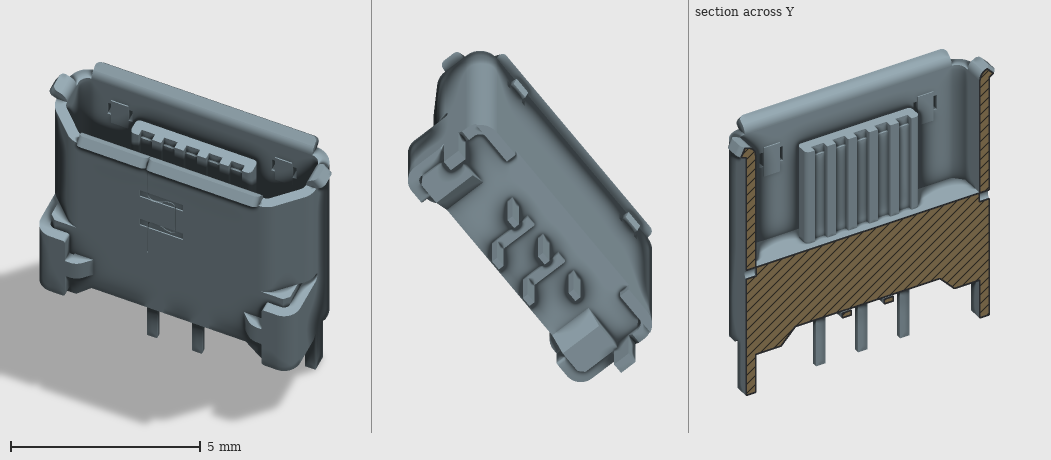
import cadquery as cq
import math


wall = 0.30
half_width = 3.76
half_depth = 1.23
shell_top = 7.52
rear_radius = 0.57
bevel_radius = 0.55
bevel_x = 2.838
bevel_y = -0.308
inner_x = half_width - wall
inner_y = half_depth - wall

housing_top = 3.97
wing_front = -1.575
wing_top = 3.68
wing_bottom = 1.395
wing_radius = 0.47
wing_end_x = 2.85
wing_end_radius = 0.08
wing_root_radius = 0.04
wing_flat_x = half_width - wing_radius
catch_bottom = 2.25
catch_top = 2.868
catch_bend_x = 2.72
catch_bend_radius = 0.47
catch_angle = 45
relief_end_y = 0.01
relief_radius = 0.14

seam_x = -0.606
seam_gap = 0.03
seam_key_x = 0.186
seam_key_z = 5.725
seam_key_half_height = 0.465
seam_corner_radius = 0.15
seam_wave_rise = seam_corner_radius / 3
coin_depth = 0.03
coin_left = -0.836
coin_right = 0.416
coin_height = 0.262
plate_right = 0.614
plate_corner_radius = 0.07
plate_root = 0.075

lip_thickness = 0.29
narrow_flare = (53, 46, 0.222, 0.152)
left_flare = (66, 64, 0.258, 0.115)
rear_flare = (51, 51, 0.21, 0.165)
front_lip_half_length = 2.61
front_lip_radius = 0.15
rear_lip_half_length = 3.2
rear_lip_radius = 0.15
side_lip_length = 0.62
side_lip_y = 0.237
side_lip_radius = 0.15
latch_x = 2.375
latch_width = 0.49
latch_top = 6.91
latch_bottom = 6.0
latch_proud = 0.03
window_margin = 0.12
window_top = 6.75
window_bottom = 6.3
prong_reach = 0.21
prong_thickness = 0.255
prong_droop = 23
prong_z = 6.86

housing_bottom = 1.664
housing_front_chamfer = 0.15
housing_rear_chamfer = 0.26
foot_bottom = 1.197
foot_tip_x = 2.68
foot_slope_x = 2.235
foot_rear_y = 0.0

tongue_half_width = 1.755
tongue_rear = 0.65
tongue_front = 0.169
tongue_top = 6.86
tongue_radius = 0.13
contact_pitch = 0.65
contact_count = 5
notch_width = 0.387
notch_depth = 0.2
contact_face_y = 0.305
contact_top = 6.6

pin_width = 0.285
pin_thickness = 0.165
rear_pin_y = 0.27
front_pin_y = -0.765
pin_jog_top = 1.61
pin_bend_radius = 0.1
leg_rear = 0.38
leg_front = -0.115
leg_relief = 0.12
rear_foot_bottom = 1.276
rear_foot_x = 2.397


def block(x0, x1, y0, y1, z0, z1):
    """Axis-aligned box between two corners."""
    return cq.Workplane("XY").box(x1 - x0, y1 - y0, z1 - z0, centered=False).translate((x0, y0, z0))


def mirrored(solid):
    """A solid together with its mirror image across X = 0."""
    return solid.union(solid.mirror("YZ"), clean=False)


def outline_solid():
    """Solid of the D-shaped shell outline over the full height of the rear wall."""
    corners = [
        (-half_width, half_depth),
        (half_width, half_depth),
        (half_width, bevel_y),
        (bevel_x, -half_depth),
        (-bevel_x, -half_depth),
        (-half_width, bevel_y),
    ]
    base = cq.Workplane("XY").workplane(offset=rear_foot_bottom)
    solid = base.polyline(corners).close().extrude(shell_top - rear_foot_bottom)
    solid = solid.edges("|Z and >Y").fillet(rear_radius)
    return solid.edges("|Z and (not >Y)").fillet(bevel_radius)


def tube():
    """D-shaped tube, cut away in front below the relief slot and stepped along its bottom edge."""
    outer = outline_solid()
    cavity = outer.faces("<Z").wires().toPending().offset2D(-wall)
    body = outer.cut(cavity.extrude(shell_top - rear_foot_bottom, combine=False))
    x = half_width
    front = -half_depth
    slot = block(-x, x, front, relief_end_y, wing_top, housing_top)
    slot = slot.edges("|X and >Y").fillet(relief_radius)
    below_slot = block(-x, x, front, relief_end_y, rear_foot_bottom, wing_top)
    below_sides = block(-x, x, front, inner_y, rear_foot_bottom, wing_bottom)
    between_feet = block(-rear_foot_x, rear_foot_x, front, half_depth, rear_foot_bottom, housing_bottom)
    return body.cut(slot).cut(below_slot).cut(below_sides).cut(between_feet)


def wings():
    """Side walls below the relief slot, rounded around the front corners of the housing."""

    def rounded_box(inset):
        x = half_width - inset
        solid = block(-x, x, wing_front + inset, relief_end_y, wing_bottom, wing_top)
        return solid.edges("|Z and <Y").fillet(wing_radius - inset)

    front_opening = block(-wing_flat_x, wing_flat_x, wing_front, wing_front + wall, wing_bottom, wing_top)
    return rounded_box(0).cut(rounded_box(wall)).cut(front_opening)


def wing_flange():
    """Flat end of the right wing with its catch bent back into the housing."""
    outline = [
        (wing_flat_x, wing_bottom),
        (wing_flat_x, wing_top),
        (wing_end_x, wing_top),
        (wing_end_x, catch_top),
        (catch_bend_x, catch_top),
        (catch_bend_x, catch_bottom),
        (wing_end_x, catch_bottom),
        (wing_end_x, wing_bottom),
    ]
    plate = cq.Workplane("XZ", origin=(0, wing_front, 0)).polyline(outline).close().extrude(-wall)
    for z, radius in (
        (wing_top, wing_end_radius),
        (wing_bottom, wing_end_radius),
        (catch_top, wing_root_radius),
        (catch_bottom, wing_root_radius),
    ):
        corner = (wing_end_x, wing_front + wall / 2, z)
        plate = plate.edges(cq.NearestToPointSelector(corner)).fillet(radius)

    angle = math.radians(catch_angle)
    bend_centre_y = wing_front + catch_bend_radius

    def on_bend(turn):
        x = catch_bend_x - catch_bend_radius * math.sin(turn)
        return (x, bend_centre_y - catch_bend_radius * math.cos(turn))

    bend_end = on_bend(angle)
    embed_y = -half_depth + wall / 2
    run = (embed_y - bend_end[1]) / math.tan(angle)
    catch = (
        cq.Workplane("XY", origin=(0, 0, catch_bottom))
        .moveTo(catch_bend_x, wing_front)
        .threePointArc(on_bend(angle / 2), bend_end)
        .lineTo(bend_end[0] - run, embed_y)
        .lineTo(catch_bend_x, embed_y)
        .close()
        .extrude(catch_top - catch_bottom)
    )
    return plate.union(catch)


def lip(length, bend, tilt, tip_out, tip_up, corner_radius):
    """Lip along X, bent about the wall's outer rim edge (the X axis) to flare towards -Y.

    The inner face turns through `bend`; the end face leans `tilt` from horizontal. The lower edge
    of the end face lies `tip_out` beyond the wall and `tip_up` above the rim.
    """

    def on_bend(turn):
        return (wall * math.cos(turn), wall * math.sin(turn))

    bend_angle = math.radians(bend)
    tilt_angle = math.radians(tilt)
    low_tip = (-tip_out, tip_up)
    high_tip = (
        low_tip[0] + lip_thickness * math.cos(tilt_angle),
        low_tip[1] + lip_thickness * math.sin(tilt_angle),
    )
    solid = (
        cq.Workplane("YZ", origin=(-length / 2, 0, 0))
        .polyline([(0, 0), low_tip, high_tip, on_bend(bend_angle)])
        .threePointArc(on_bend(bend_angle / 2), on_bend(0))
        .close()
        .extrude(length)
    )
    tip_middle_y = (low_tip[0] + high_tip[0]) / 2
    tip_middle_z = (low_tip[1] + high_tip[1]) / 2
    for end in (-1, 1):
        tip_edge = cq.NearestToPointSelector((end * length / 2, tip_middle_y, tip_middle_z))
        solid = solid.edges(tip_edge).fillet(corner_radius)
    return solid


def front_lips():
    """Two front lips, one on each side of the seam."""
    solids = cq.Workplane("XY")
    gap = seam_gap / 2
    for start, end in (
        (-front_lip_half_length, seam_x - gap),
        (seam_x + gap, front_lip_half_length),
    ):
        piece = lip(end - start, *narrow_flare, front_lip_radius)
        solids = solids.add(piece.translate(((start + end) / 2, -half_depth, shell_top)))
    return solids.combine()


def rear_lip():
    """Single lip along the rear wall."""
    piece = lip(2 * rear_lip_half_length, *rear_flare, rear_lip_radius)
    return piece.rotate((0, 0, 0), (0, 0, 1), 180).translate((0, half_depth, shell_top))


def side_lips():
    """Short lips on the two side walls; the left one flares further."""
    left = lip(side_lip_length, *left_flare, side_lip_radius)
    left = left.rotate((0, 0, 0), (0, 0, 1), -90).translate((-half_width, side_lip_y, shell_top))
    right = lip(side_lip_length, *narrow_flare, side_lip_radius)
    right = right.rotate((0, 0, 0), (0, 0, 1), 90).translate((half_width, side_lip_y, shell_top))
    return left.union(right)


def seam_cut():
    """Hairline seam down the front wall with an interlocking key between two coined pads."""
    r = seam_corner_radius
    top = seam_key_z + seam_key_half_height
    bottom = seam_key_z - seam_key_half_height
    wave_x = (seam_x + seam_key_x) / 2
    upper_wave = [(wave_x, top + seam_wave_rise), (seam_key_x - r, top + r)]
    lower_wave = [(wave_x, bottom - seam_wave_rise), (seam_x + r, bottom)]
    diagonal = r * math.sqrt(0.5)
    path = (
        cq.Workplane("XZ", origin=(0, -half_depth + wall / 2, 0))
        .moveTo(seam_x, shell_top)
        .lineTo(seam_x, top + r)
        .threePointArc((seam_x + r - diagonal, top + r - diagonal), (seam_x + r, top))
        .spline(upper_wave, tangents=[(1, 0), (1, 0)], includeCurrent=True)
        .threePointArc((seam_key_x - r + diagonal, top + diagonal), (seam_key_x, top))
        .lineTo(seam_key_x, bottom)
        .threePointArc((seam_key_x - r + diagonal, bottom - diagonal), (seam_key_x - r, bottom - r))
        .spline(lower_wave, tangents=[(-1, 0), (-1, 0)], includeCurrent=True)
        .threePointArc((seam_x + r - diagonal, bottom - r + diagonal), (seam_x, bottom - r))
        .lineTo(seam_x, housing_top)
        .wire()
    )
    section = cq.Workplane("XY", origin=(seam_x, -half_depth + wall / 2, shell_top))
    cut = section.rect(seam_gap, wall).sweep(path)
    for pad_bottom in (top, bottom - coin_height):
        front = -half_depth
        pad = block(coin_left, coin_right, front, front + coin_depth, pad_bottom, pad_bottom + coin_height)
        cut = cut.union(pad)
    return cut


def front_plate():
    """Strip of the front wall that runs down between the two halves of the housing face."""
    outline = [
        (seam_x, housing_bottom),
        (plate_right, housing_bottom),
        (plate_right, housing_top),
        (plate_right + plate_root, housing_top),
        (plate_right + plate_root, housing_top + plate_root),
        (seam_x, housing_top + plate_root),
    ]
    plate = cq.Workplane("XZ", origin=(0, -half_depth, 0)).polyline(outline).close().extrude(-wall)
    inside_corner = cq.NearestToPointSelector((plate_right, -half_depth + wall / 2, housing_top))
    return plate.edges(inside_corner).fillet(plate_corner_radius)


def add_latches(body):
    """Spring latches in rear-wall windows, each with a prong hooked outward and down."""
    half = latch_width / 2
    droop = math.radians(prong_droop)
    tip = (half_depth + prong_reach, prong_z - prong_reach * math.tan(droop))
    low_tip = (tip[0] - prong_thickness * math.sin(droop), tip[1] - prong_thickness * math.cos(droop))
    embed = half_depth - wall / 2
    outline = [
        tip,
        low_tip,
        (embed, low_tip[1] + (low_tip[0] - embed) * math.tan(droop)),
        (embed, tip[1] + (tip[0] - embed) * math.tan(droop)),
    ]
    for side in (-1, 1):
        x = side * latch_x
        left = x - half - window_margin
        right = x + half + window_margin
        window = block(left, right, inner_y, half_depth, window_bottom, window_top)
        arm_inner_y = inner_y - latch_proud
        arm = block(x - half, x + half, arm_inner_y, half_depth, latch_bottom, latch_top)
        prong = cq.Workplane("YZ", origin=(x - half, 0, 0)).polyline(outline).close().extrude(latch_width)
        body = body.cut(window).union(arm).union(prong)
    return body


def leg():
    """Right solder leg, running down from the side wall."""
    return block(inner_x, half_width, leg_front, leg_rear, 0, wing_bottom)


def leg_reliefs():
    """Triangular nicks in the right side wall beside its leg."""
    reliefs = cq.Workplane("XY")
    for edge_y, direction in ((leg_rear, 1), (leg_front, -1)):
        outline = [
            (edge_y, wing_bottom),
            (edge_y, wing_bottom + leg_relief),
            (edge_y + direction * leg_relief, wing_bottom),
        ]
        nick = cq.Workplane("YZ", origin=(inner_x, 0, 0)).polyline(outline).close().extrude(wall)
        reliefs = reliefs.add(nick)
    return reliefs.combine()


def housing():
    """Plastic block filling the lower shell, with two sloped feet."""
    body = block(-inner_x, inner_x, -half_depth, inner_y, housing_bottom, housing_top)
    foot_outline = [
        (inner_x, housing_bottom),
        (inner_x, foot_bottom),
        (foot_tip_x, foot_bottom),
        (foot_slope_x, housing_bottom),
    ]
    foot_depth = half_depth + foot_rear_y
    foot = cq.Workplane("XZ", origin=(0, -half_depth, 0)).polyline(foot_outline).close().extrude(-foot_depth)
    body = body.union(mirrored(foot))
    body = body.edges("|Z and <Y and (<X or >X)").chamfer(housing_front_chamfer)
    body = body.edges("|Z and >Y").chamfer(housing_rear_chamfer)
    return body.cut(front_plate())


def contact_positions():
    """X positions of the contacts, evenly pitched about the middle."""
    middle = (contact_count - 1) / 2
    return [(i - middle) * contact_pitch for i in range(contact_count)]


def tongue():
    """Contact tongue: front notches with a contact strip standing lower in each."""
    width = tongue_half_width
    solid = block(-width, width, tongue_front, tongue_rear, housing_top, tongue_top)
    solid = solid.edges("|Z").fillet(tongue_radius)
    half = notch_width / 2
    back = tongue_front + notch_depth
    for x in contact_positions():
        notch = block(x - half, x + half, tongue_front, back, housing_top, tongue_top)
        contact = block(x - half, x + half, contact_face_y, back, housing_top, contact_top)
        solid = solid.cut(notch).union(contact)
    return solid


def pins():
    """Five tails in two rows; the second and fourth jog forward under the housing."""
    solids = cq.Workplane("XY")
    half_w = pin_width / 2
    half_t = pin_thickness / 2
    for i, x in enumerate(contact_positions()):
        left = x - half_w
        right = x + half_w
        in_front_row = i % 2 == 1
        rear_end = pin_jog_top - pin_thickness if in_front_row else 0
        pin = block(left, right, rear_pin_y - half_t, rear_pin_y + half_t, rear_end, housing_bottom)
        if in_front_row:
            front = front_pin_y - half_t
            tail = block(left, right, front, front + pin_thickness, 0, pin_jog_top)
            jog = block(left, right, front, rear_pin_y, pin_jog_top - pin_thickness, pin_jog_top)
            bent = tail.union(jog).edges("|X and <Y and >Z").fillet(pin_bend_radius)
            pin = pin.union(bent)
        solids = solids.add(pin)
    return solids.combine()


def shell():
    """Complete metal shell with wings, legs, latches, seam and lips."""
    body = tube().union(wings()).union(front_plate())
    body = body.cut(mirrored(leg_reliefs()))
    body = body.union(mirrored(leg())).union(mirrored(wing_flange()))
    body = add_latches(body)
    body = body.cut(seam_cut())
    return body.union(rear_lip()).union(front_lips()).union(side_lips())


plastic = housing().union(tongue()).union(pins())
result = shell().union(plastic, clean=False)